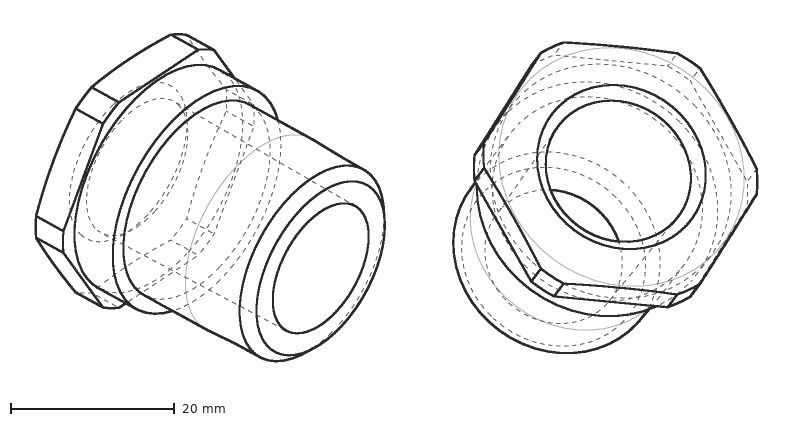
import cadquery as cq
import math

across_flats = 31.5
across_corners = 34.63
head_length = 5.02
head_face_diameter = 31.03
head_chamfer_angle = 15.0

total_length = 31.8
collar_diameter = 30.47
collar_end = 11.32
body_diameter = 26.6
body_end = 21.57
taper_end_diameter = 26.18
tip_chamfer = 1.45

countersink_diameter = 21.33
countersink_depth = 1.5
bore_front_diameter = 18.35
bore_tip_diameter = 17.4


def revolve_profile(points):
    """Revolve a closed (x, radius) profile about the X axis."""
    profile = cq.Workplane("XY").polyline(points).close()
    return profile.revolve(360, (0, 0, 0), (1, 0, 0))


def make_head():
    face_radius = head_face_diameter / 2
    rim_radius = across_corners / 2
    chamfer_length = (rim_radius - face_radius) * math.tan(math.radians(head_chamfer_angle))
    rounded_blank = revolve_profile([
        (0, 0),
        (0, face_radius),
        (chamfer_length, rim_radius),
        (head_length, rim_radius),
        (head_length, 0),
    ])
    sharp_corner_diameter = across_flats / math.cos(math.radians(30))
    hexagon = cq.Workplane("YZ").polygon(6, sharp_corner_diameter).extrude(head_length)
    return hexagon.intersect(rounded_blank)


def make_body():
    collar_radius = collar_diameter / 2
    body_radius = body_diameter / 2
    taper_end_radius = taper_end_diameter / 2
    return revolve_profile([
        (head_length, 0),
        (head_length, collar_radius),
        (collar_end, collar_radius),
        (collar_end, body_radius),
        (body_end, body_radius),
        (total_length - tip_chamfer, taper_end_radius),
        (total_length, taper_end_radius - tip_chamfer),
        (total_length, 0),
    ])


def make_bore():
    return revolve_profile([
        (0, 0),
        (0, countersink_diameter / 2),
        (countersink_depth, bore_front_diameter / 2),
        (total_length, bore_tip_diameter / 2),
        (total_length, 0),
    ])


result = make_head().union(make_body()).cut(make_bore())